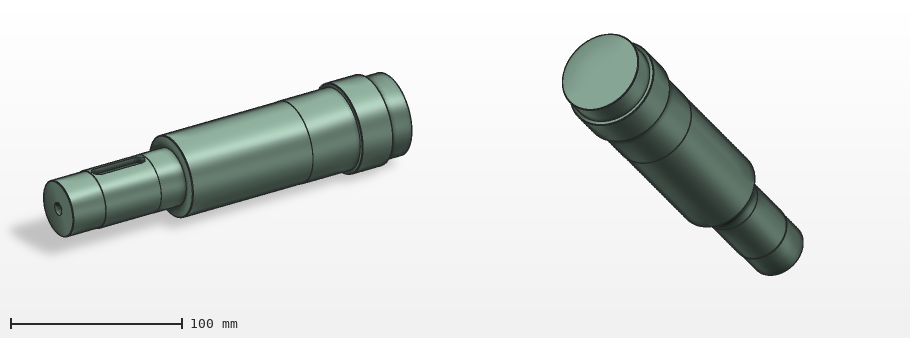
import cadquery as cq
import math

length = 225.5
nose_end = -length / 2
tail_end = length / 2

nose_diameter = 34.0
key_seat_diameter = 35.0
spacer_diameter = 35.2
body_diameter = 49.5
bearing_diameter = 50.0
collar_diameter = 55.0

nose_length = 22.0
key_seat_length = 37.5
spacer_length = 17.0
collar_length = 21.0
tail_length = 14.5
bearing_length = 32.0

key_seat_start = nose_end + nose_length
spacer_start = key_seat_start + key_seat_length
body_start = spacer_start + spacer_length
collar_end = tail_end - tail_length
collar_start = collar_end - collar_length
bearing_start = collar_start - bearing_length

edge_chamfer = 0.5

keyway_length = 35.0
keyway_width = 8.0
keyway_depth = 4.0

centre_mouth_diameter = 8.0
centre_pilot_diameter = 4.0
centre_cone_angle = 60.0
centre_pilot_length = 5.0
centre_tip_angle = 120.0


def cylinder(diameter, start, end):
    """Solid cylinder on the Y axis between two Y positions."""
    plane = cq.Workplane(cq.Plane((0, start, 0), (1, 0, 0), (0, 1, 0)))
    return plane.circle(diameter / 2).extrude(end - start)


def make_shaft():
    nose = cylinder(nose_diameter, nose_end, key_seat_start)
    nose = nose.faces("<Y").chamfer(edge_chamfer)
    key_seat = cylinder(key_seat_diameter, key_seat_start, spacer_start)
    spacer = cylinder(spacer_diameter, spacer_start, body_start)
    body = cylinder(body_diameter, body_start, bearing_start)
    body = body.faces("<Y").chamfer(edge_chamfer)
    bearing = cylinder(bearing_diameter, bearing_start, tail_end)
    bearing = bearing.faces(">Y").chamfer(edge_chamfer)
    collar = cylinder(collar_diameter, collar_start, collar_end)
    collar = collar.faces("<Y or >Y").chamfer(edge_chamfer)
    return nose.union(key_seat).union(spacer).union(body).union(bearing).union(collar)


def make_keyway():
    middle = (key_seat_start + spacer_start) / 2
    floor_height = key_seat_diameter / 2 - keyway_depth
    return (
        cq.Workplane("XY", origin=(0, middle, floor_height))
        .slot2D(keyway_length, keyway_width, 90)
        .extrude(key_seat_diameter)
    )


def make_centre_hole():
    mouth_radius = centre_mouth_diameter / 2
    pilot_radius = centre_pilot_diameter / 2
    cone_depth = (mouth_radius - pilot_radius) / math.tan(math.radians(centre_cone_angle / 2))
    tip_depth = pilot_radius / math.tan(math.radians(centre_tip_angle / 2))
    cone_end = nose_end + cone_depth
    pilot_end = cone_end + centre_pilot_length
    profile = [
        (0, nose_end),
        (mouth_radius, nose_end),
        (pilot_radius, cone_end),
        (pilot_radius, pilot_end),
        (0, pilot_end + tip_depth),
    ]
    return cq.Workplane("XY").polyline(profile).close().revolve(360, (0, 0), (0, 1))


result = make_shaft().cut(make_keyway()).cut(make_centre_hole())